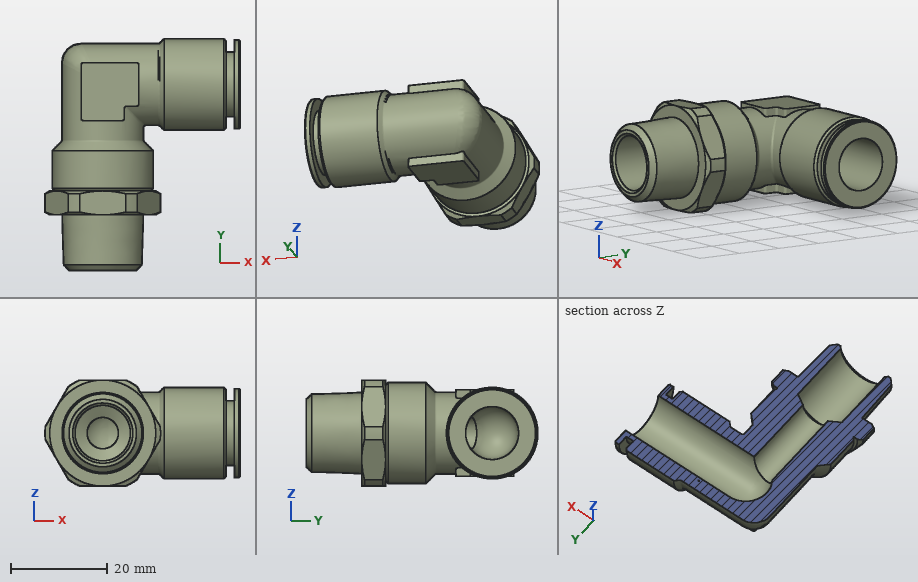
import cadquery as cq
import math

neck_radius = 17.0 / 2
outer_bend_radius = 4.0
inner_bend_radius = 0.4
shoulder_angle = 45.0
shoulder_blend_radius = 0.5

pad_start = -4.5
pad_side = 12.0
pad_notch = 3.0
pad_height = 18.0
pad_corner_radius = 0.5

branch_radius = 19.0 / 2
branch_shoulder_x = 12.72
branch_end_x = 25.6
branch_end_chamfer = 0.5
collar_radius = 13.5 / 2
flange_radius = 18.5 / 2
flange_start_x = 27.3
flange_end_x = 28.49
flange_chamfer = 0.25

stem_radius = 21.0 / 2
stem_shoulder_y = -13.75
stem_end_y = -22.1
stem_end_chamfer = 0.55

hex_width = 4.95
hex_across_flats = 22.0
hex_corner_radius = 24.0 / 2
hex_chamfer_angle = 30.0

thread_plain_width = 0.5
thread_radius = 16.9 / 2
thread_taper = 1.0 / 16
thread_end_y = -38.6
thread_end_radius = 14.0 / 2
thread_chamfer_width = 1.2

passage_radius = 6.5 / 2
branch_bore_radius = 11.0 / 2
branch_bore_start_x = 1.22
bore_radius = 11.5 / 2
bore_mouth_radius = 12.5 / 2
bore_depth = 15.0
drill_half_angle = 59.0

blend_setback = shoulder_blend_radius * math.tan(math.radians(shoulder_angle / 2))
shoulder_slope = math.tan(math.radians(shoulder_angle))
branch_neck_end_x = branch_shoulder_x - (branch_radius - neck_radius) / shoulder_slope - blend_setback
stem_neck_end_y = stem_shoulder_y + (stem_radius - neck_radius) / shoulder_slope + blend_setback
hex_end_y = stem_end_y - hex_width


def turned_about_y(profile):
    """Revolve a closed list of (radius, y) points about the Y axis."""
    return cq.Workplane("XY").polyline(profile).close().revolve(360, (0, 0), (0, 1))


def mitre_edges(body, side):
    """Mitre edges of the elbow on the inner (side = 1) or outer (side = -1) corner."""
    x_near, x_far = sorted((0, side * neck_radius))
    corner_box = cq.selectors.BoxSelector(
        (x_near, -x_near, -neck_radius), (x_far, -x_far, neck_radius)
    )
    return body.edges("%ELLIPSE").edges(corner_box)


def make_pads():
    """Notched square block that stands proud of the elbow at +Z and -Z."""
    far = pad_start + pad_side
    outline = [
        (pad_start, -pad_start),
        (far, -pad_start),
        (far, pad_notch - far),
        (far - pad_notch, pad_notch - far),
        (far - pad_notch, -far),
        (pad_start, -far),
    ]
    block = cq.Workplane("XY").polyline(outline).close().extrude(pad_height / 2, both=True)
    return block.edges("|Z").fillet(pad_corner_radius)


def make_elbow():
    """Mitred legs with pads, rounded along the outer and inner mitre edges."""
    path = (
        cq.Workplane("XY")
        .moveTo(0, stem_neck_end_y)
        .lineTo(0, 0)
        .lineTo(branch_neck_end_x, 0)
    )
    legs = (
        cq.Workplane("XZ", origin=(0, stem_neck_end_y, 0))
        .circle(neck_radius)
        .sweep(path, transition="right")
    )
    elbow = legs.union(make_pads())
    elbow = mitre_edges(elbow, -1).fillet(outer_bend_radius)
    return mitre_edges(elbow, 1).fillet(inner_bend_radius)


def blend_offset(angle):
    """Axial and radial distance along the shoulder blend, after turning by angle in degrees."""
    turn = math.radians(angle)
    return shoulder_blend_radius * math.sin(turn), shoulder_blend_radius * (1 - math.cos(turn))


def make_branch():
    """Socket body with conical shoulder, then the release collar and its flange."""
    mid_axial, mid_radial = blend_offset(shoulder_angle / 2)
    end_axial, end_radial = blend_offset(shoulder_angle)
    blended_neck = (
        cq.Workplane("XY")
        .moveTo(branch_neck_end_x, 0)
        .lineTo(branch_neck_end_x, neck_radius)
        .threePointArc(
            (branch_neck_end_x + mid_axial, neck_radius + mid_radial),
            (branch_neck_end_x + end_axial, neck_radius + end_radial),
        )
    )
    profile = blended_neck.polyline([
        (branch_shoulder_x, branch_radius),
        (branch_end_x - branch_end_chamfer, branch_radius),
        (branch_end_x, branch_radius - branch_end_chamfer),
        (branch_end_x, collar_radius),
        (flange_start_x, collar_radius),
        (flange_start_x, flange_radius),
        (flange_end_x - flange_chamfer, flange_radius),
        (flange_end_x, flange_radius - flange_chamfer),
        (flange_end_x, 0),
    ], includeCurrent=True)
    return profile.close().revolve(360, (0, 0), (1, 0))


def make_stem():
    """Swivel body and tapered thread."""
    thread_start_y = hex_end_y - thread_plain_width
    thread_chamfer_y = thread_end_y + thread_chamfer_width
    thread_small_radius = thread_radius - (thread_start_y - thread_chamfer_y) * thread_taper / 2
    mid_axial, mid_radial = blend_offset(shoulder_angle / 2)
    end_axial, end_radial = blend_offset(shoulder_angle)
    blended_neck = (
        cq.Workplane("XY")
        .moveTo(0, stem_neck_end_y)
        .lineTo(neck_radius, stem_neck_end_y)
        .threePointArc(
            (neck_radius + mid_radial, stem_neck_end_y - mid_axial),
            (neck_radius + end_radial, stem_neck_end_y - end_axial),
        )
    )
    profile = blended_neck.polyline([
        (stem_radius, stem_shoulder_y),
        (stem_radius, stem_end_y + stem_end_chamfer),
        (stem_radius - stem_end_chamfer, stem_end_y),
        (thread_radius, stem_end_y),
        (thread_radius, thread_start_y),
        (thread_small_radius, thread_chamfer_y),
        (thread_end_radius, thread_end_y),
        (0, thread_end_y),
    ], includeCurrent=True)
    return profile.close().revolve(360, (0, 0), (0, 1))


def make_hexagon():
    """Hexagon with flats at +Z and -Z, corners turned round and chamfered."""
    across_corners = hex_across_flats / math.cos(math.radians(30))
    prism = (
        cq.Workplane("XZ", origin=(0, stem_end_y, 0))
        .polygon(6, across_corners)
        .extrude(hex_width)
    )
    face_radius = hex_across_flats / 2
    chamfer = (hex_corner_radius - face_radius) * math.tan(math.radians(hex_chamfer_angle))
    turned_blank = turned_about_y([
        (0, stem_end_y),
        (face_radius, stem_end_y),
        (hex_corner_radius, stem_end_y - chamfer),
        (hex_corner_radius, hex_end_y + chamfer),
        (face_radius, hex_end_y),
        (0, hex_end_y),
    ])
    return prism.intersect(turned_blank)


def make_passage():
    """Stepped bore up the stem, meeting a ball-ended bore through the branch."""
    mouth_chamfer = bore_mouth_radius - bore_radius
    bore_end_y = thread_end_y + bore_depth
    cone_length = (bore_radius - passage_radius) / math.tan(math.radians(drill_half_angle))
    stem_bore = turned_about_y([
        (0, thread_end_y),
        (bore_mouth_radius, thread_end_y),
        (bore_radius, thread_end_y + mouth_chamfer),
        (bore_radius, bore_end_y),
        (passage_radius, bore_end_y + cone_length),
        (passage_radius, 0),
        (0, 0),
    ])
    branch_bore = (
        cq.Workplane("YZ", origin=(branch_bore_start_x, 0, 0))
        .circle(branch_bore_radius)
        .extrude(flange_end_x - branch_bore_start_x)
    )
    bore_end = cq.Workplane("XY").sphere(branch_bore_radius).translate((branch_bore_start_x, 0, 0))
    return stem_bore.union(branch_bore).union(bore_end)


body = make_elbow().union(make_branch()).union(make_stem()).union(make_hexagon())
result = body.cut(make_passage())